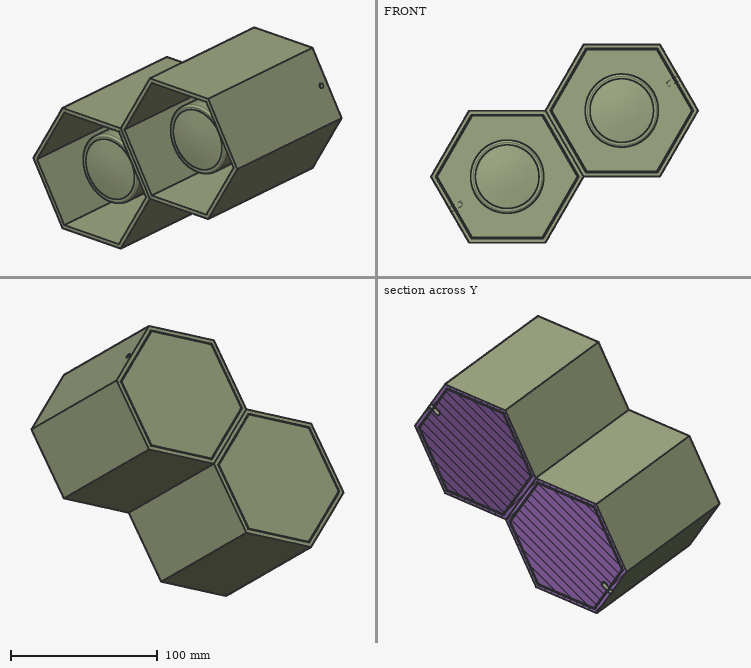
import cadquery as cq
import math

OVERALL_WIDTH = 181.9
DEPTH = 110.0

HEX_RADIUS = OVERALL_WIDTH / 3.5
APOTHEM = HEX_RADIUS * math.cos(math.radians(30))

WALL = 3.0
PLATE_GAP = 0.6
PLATE_THICKNESS = 12.0
CAVITY_APOTHEM = APOTHEM - WALL
PLATE_APOTHEM = CAVITY_APOTHEM - PLATE_GAP

LAMP_RADIUS = 25.0
LAMP_RECESS = 19.6
RIM_ROUND = 1.5
LENS_RADIUS = 21.6
LENS_RISE = 1.8

HOLE_RADIUS = 1.67
HOLE_DEPTH = 9.1

FRONT_Y = -DEPTH / 2
BACK_Y = DEPTH / 2
PLATE_FRONT_Y = BACK_Y - PLATE_THICKNESS
LAMP_FRONT_Y = FRONT_Y + LAMP_RECESS
HOLE_Y = BACK_Y - PLATE_THICKNESS / 2

UNIT_X = 0.75 * HEX_RADIUS
UNIT_Z = APOTHEM / 2

UNITS = [
    (-UNIT_X, -UNIT_Z, 210),
    (UNIT_X, UNIT_Z, 30),
]


def hex_prism(apothem, front_y, back_y):
    """Hexagonal prism along Y with two corners on the X axis."""
    return (
        cq.Workplane("XZ", origin=(0, back_y, 0))
        .polygon(6, 2 * apothem / math.cos(math.radians(30)))
        .extrude(back_y - front_y)
    )


def fixing_hole(face_angle):
    """Cutter for the blind hole, drilled inwards from the centre line of an outer side face."""
    angle = math.radians(face_angle)
    outward = (math.cos(angle), 0, math.sin(angle))
    origin = (APOTHEM * outward[0], HOLE_Y, APOTHEM * outward[2])
    face_plane = cq.Plane(origin=origin, xDir=(0, 1, 0), normal=outward)
    return cq.Workplane(face_plane).circle(HOLE_RADIUS).extrude(-HOLE_DEPTH)


def make_housing(face_angle):
    """Open hexagonal tube with the fixing hole through one side."""
    tube = hex_prism(APOTHEM, FRONT_Y, BACK_Y).cut(hex_prism(CAVITY_APOTHEM, FRONT_Y, BACK_Y))
    return tube.cut(fixing_hole(face_angle))


def make_plate(face_angle):
    """Back plate, slightly smaller than the tube, with the fixing hole ending inside it."""
    return hex_prism(PLATE_APOTHEM, PLATE_FRONT_Y, BACK_Y).cut(fixing_hole(face_angle))


def make_lamp():
    """Round lamp standing on the plate, its flat front edge rounded."""
    return (
        cq.Workplane("XZ", origin=(0, PLATE_FRONT_Y, 0))
        .circle(LAMP_RADIUS)
        .extrude(PLATE_FRONT_Y - LAMP_FRONT_Y)
        .faces("<Y")
        .edges()
        .fillet(RIM_ROUND)
    )


def make_lens():
    """Shallow spherical dome with a flat back lying on the lamp front."""
    ball_radius = (LENS_RADIUS**2 + LENS_RISE**2) / (2 * LENS_RISE)
    half_lens = LENS_RADIUS / 2
    half_lens_drop = ball_radius - math.sqrt(ball_radius**2 - half_lens**2)
    crown_y = LAMP_FRONT_Y - LENS_RISE
    return (
        cq.Workplane("XY")
        .moveTo(0, LAMP_FRONT_Y)
        .lineTo(LENS_RADIUS, LAMP_FRONT_Y)
        .threePointArc((half_lens, crown_y + half_lens_drop), (0, crown_y))
        .close()
        .revolve(360, (0, 0, 0), (0, 1, 0))
    )


bodies = []
for unit_x, unit_z, face_angle in UNITS:
    housing = make_housing(face_angle)
    plate = make_plate(face_angle)
    lamp = make_lamp()
    lens = make_lens()
    for body in (housing, plate, lamp, lens):
        bodies.append(body.translate((unit_x, 0, unit_z)).val())

result = cq.Compound.makeCompound(bodies)